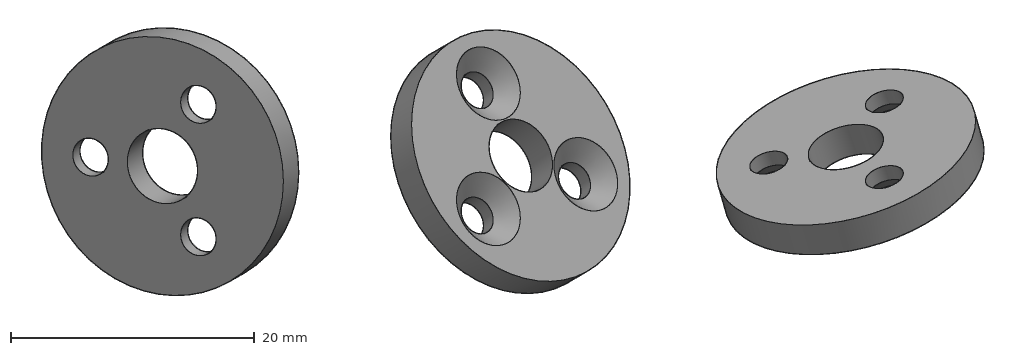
import cadquery as cq
import math

disc_diameter = 21.9
thickness = 3.0
bore_diameter = 6.35
bolt_hole_diameter = 3.2
bolt_circle_radius = 6.5
countersink_diameter = 6.4
countersink_angle = 90.0
bolt_hole_count = 3
first_hole_angle = 180.0

back_plane = cq.Workplane("XZ", origin=(0, thickness / 2, 0))

disc = back_plane.circle(disc_diameter / 2).extrude(thickness)

bore = back_plane.circle(bore_diameter / 2).extrude(thickness)

countersink_depth = (
    (countersink_diameter - bolt_hole_diameter) / 2
    / math.tan(math.radians(countersink_angle / 2))
)
bolt_pattern = back_plane.polarArray(
    bolt_circle_radius, first_hole_angle, 360, bolt_hole_count
)
bolt_holes = bolt_pattern.circle(bolt_hole_diameter / 2).extrude(thickness)
countersinks = bolt_pattern.circle(countersink_diameter / 2).extrude(
    countersink_depth, taper=countersink_angle / 2
)

result = disc.cut(bore).cut(bolt_holes).cut(countersinks)